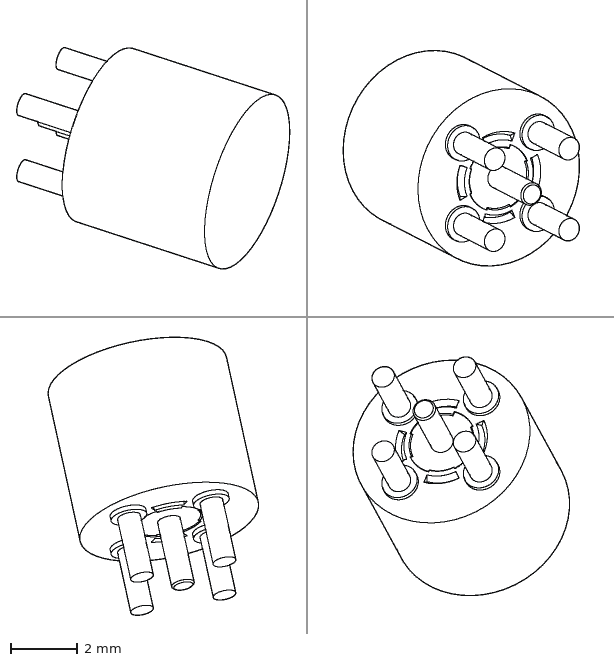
import cadquery as cq

total_length = 7.0
body_diameter = 5.5
pin_length = 2.15

pin_diameter = 0.7
pin_pitch = 2.535
collar_diameter = 1.1
collar_height = 0.15

centre_pin_chamfer = 0.055

arc_span = 45.0
arc_angles = (0, 90, 180, 270)

slot_inner_radius = 1.17
slot_outer_radius = 1.43
slot_depth = 0.21

recess_radius = 1.05
recess_depth = 0.04
tab_radius = 1.01
key_tab_radius = 0.95
key_angle = 90
tab_slope = 0.035

overlap = 0.07


def cylinder_along_x(diameter, x_start, x_end, y=0, z=0):
    """Solid cylinder parallel to X between two X positions."""
    return (
        cq.Workplane("YZ", origin=(x_start, 0, 0))
        .center(y, z)
        .circle(diameter / 2)
        .extrude(x_end - x_start)
    )


def arc_segment(section, angle):
    """Sweep an (x, radius) section about X; angle is its middle, from +Y towards +Z."""
    return (
        cq.Workplane("XY")
        .polyline(section)
        .close()
        .revolve(arc_span, (0, 0, 0), (1, 0, 0))
        .rotate((0, 0, 0), (1, 0, 0), angle - arc_span / 2)
    )


def slot_cutter(angle):
    """V-section slot, deepest midway between its two radii."""
    section = [
        (pin_length, slot_inner_radius),
        (pin_length, slot_outer_radius),
        (pin_length + slot_depth, (slot_inner_radius + slot_outer_radius) / 2),
    ]
    return arc_segment(section, angle)


def rim_tab(angle):
    """Tab flush with the body face, with a sloped inner wall down to the recess floor."""
    inner_radius = key_tab_radius if angle == key_angle else tab_radius
    floor_x = pin_length + recess_depth
    outer_radius = recess_radius + overlap
    section = [
        (pin_length, inner_radius),
        (pin_length, outer_radius),
        (floor_x, outer_radius),
        (floor_x, inner_radius - tab_slope),
    ]
    return arc_segment(section, angle)


result = cylinder_along_x(body_diameter, pin_length, total_length)
recess = cylinder_along_x(2 * recess_radius, pin_length, pin_length + recess_depth)
for angle in arc_angles:
    result = result.cut(slot_cutter(angle))
    recess = recess.cut(rim_tab(angle))
result = result.cut(recess)

ground_root_x = pin_length + overlap
for y in (-pin_pitch / 2, pin_pitch / 2):
    for z in (-pin_pitch / 2, pin_pitch / 2):
        pin = cylinder_along_x(pin_diameter, 0, ground_root_x, y, z)
        collar = cylinder_along_x(collar_diameter, pin_length - collar_height, ground_root_x, y, z)
        result = result.union(collar).union(pin)

centre_pin = cylinder_along_x(pin_diameter, 0, pin_length + recess_depth + overlap)
centre_pin = centre_pin.faces("<X").chamfer(centre_pin_chamfer)
result = result.union(centre_pin)